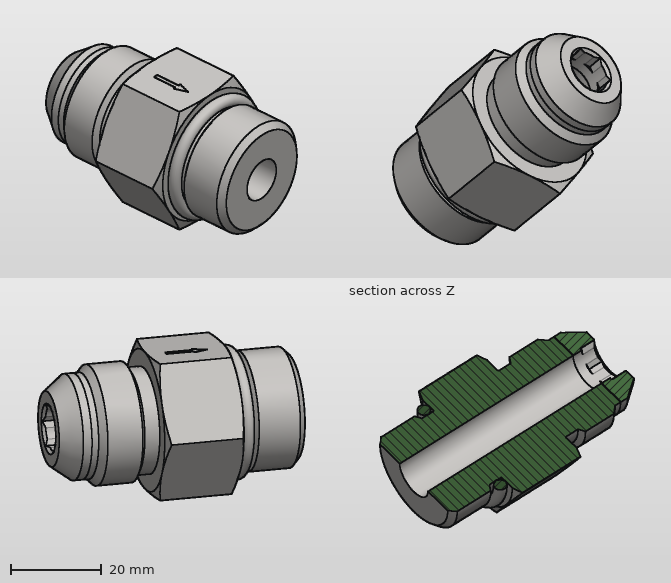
import cadquery as cq
import math

LENGTH = 55.4
HEX_START = 22.05
HEX_END = 40.25

THREAD_DIAMETER = 26.95
NECK_DIAMETER = 23.9
NOSE_DIAMETER = 23.7
NOSE_TIP_DIAMETER = 16.85
SEAL_SEAT_DIAMETER = 24.05

FLARE_HALF_ANGLE = 37.0
NOSE_END = 6.55

LEFT_THREAD_START = 9.7
LEFT_THREAD_END = 17.7
LEFT_RUNOUT_LENGTH = 0.9

SEAL_SEAT_END = 43.55
RIGHT_THREAD_START = 44.4
RIGHT_THREAD_CHAMFER = 1.5

HEX_ACROSS_FLATS = 31.75
HEX_CHAMFER_ANGLE = 20.0

BORE_DIAMETER = 9.9
ENTRY_DIAMETER = 11.3
ENTRY_DEPTH = 0.7
SOCKET_ACROSS_FLATS = 9.6
SOCKET_DEPTH = 4.0

RING_SECTION_DIAMETER = 3.0

ARROW_TAIL = 26.35
ARROW_SHOULDER = 32.55
ARROW_TIP = 35.8
ARROW_Y = -2.05
ARROW_SHAFT_WIDTH = 1.05
ARROW_HEAD_WIDTH = 2.2
ARROW_DEPTH = 0.1


def revolve_about_x(points):
    """Revolve a closed (x, radius) outline around the X axis."""
    return cq.Workplane("XY").polyline(points).close().revolve(360, (0, 0, 0), (1, 0, 0))


def corner_diameter(across_flats):
    """Diameter of the circle through the corners of a hexagon."""
    return across_flats / math.cos(math.pi / 6)


def hexagonal_prism(across_flats, start, end):
    """Hexagonal prism along X with flats on +Z and -Z."""
    return (
        cq.Workplane("YZ")
        .workplane(offset=start)
        .polygon(6, corner_diameter(across_flats))
        .extrude(end - start)
    )


def nose_blank():
    """Flared cone and the short cylinder behind it."""
    nose_radius = NOSE_DIAMETER / 2
    tip_radius = NOSE_TIP_DIAMETER / 2
    flare_end = (nose_radius - tip_radius) / math.tan(math.radians(FLARE_HALF_ANGLE))
    return revolve_about_x([
        (0, 0),
        (0, tip_radius),
        (flare_end, nose_radius),
        (NOSE_END, nose_radius),
        (NOSE_END, 0),
    ])


def turned_housing():
    """Both threaded ends, the neck and the sealing ring seat."""
    thread = THREAD_DIAMETER / 2
    shoulder = NOSE_DIAMETER / 2
    neck = NECK_DIAMETER / 2
    seat = SEAL_SEAT_DIAMETER / 2
    return revolve_about_x([
        (NOSE_END, 0),
        (NOSE_END, shoulder),
        (LEFT_THREAD_START - (thread - shoulder), shoulder),
        (LEFT_THREAD_START, thread),
        (LEFT_THREAD_END, thread),
        (LEFT_THREAD_END + LEFT_RUNOUT_LENGTH, neck),
        (HEX_START, neck),
        (HEX_START, seat),
        (SEAL_SEAT_END, seat),
        (RIGHT_THREAD_START, thread),
        (LENGTH - RIGHT_THREAD_CHAMFER, thread),
        (LENGTH, thread - RIGHT_THREAD_CHAMFER),
        (LENGTH, 0),
    ])


def wrench_hexagon():
    """Hexagon with its corners turned down by a cone at both ends."""
    face = HEX_ACROSS_FLATS / 2
    corner = corner_diameter(HEX_ACROSS_FLATS) / 2
    chamfer = (corner - face) * math.tan(math.radians(HEX_CHAMFER_ANGLE))
    envelope = revolve_about_x([
        (HEX_START, 0),
        (HEX_START, face),
        (HEX_START + chamfer, corner),
        (HEX_END - chamfer, corner),
        (HEX_END, face),
        (HEX_END, 0),
    ])
    return hexagonal_prism(HEX_ACROSS_FLATS, HEX_START, HEX_END).intersect(envelope)


def bore():
    """Through bore with a conical entry at the nose."""
    bore_radius = BORE_DIAMETER / 2
    return revolve_about_x([
        (0, 0),
        (0, ENTRY_DIAMETER / 2),
        (ENTRY_DEPTH, bore_radius),
        (LENGTH, bore_radius),
        (LENGTH, 0),
    ])


def flow_arrow():
    """Arrow-shaped pocket pointing along +X."""
    half_shaft = ARROW_SHAFT_WIDTH / 2
    half_head = ARROW_HEAD_WIDTH / 2
    return (
        cq.Workplane("XY", origin=(0, ARROW_Y, HEX_ACROSS_FLATS / 2 - ARROW_DEPTH))
        .polyline([
            (ARROW_TAIL, -half_shaft),
            (ARROW_SHOULDER, -half_shaft),
            (ARROW_SHOULDER, -half_head),
            (ARROW_TIP, 0),
            (ARROW_SHOULDER, half_head),
            (ARROW_SHOULDER, half_shaft),
            (ARROW_TAIL, half_shaft),
        ])
        .close()
        .extrude(ARROW_DEPTH)
    )


def make_nose():
    """Nose piece with its bore and key socket."""
    socket = hexagonal_prism(SOCKET_ACROSS_FLATS, 0, SOCKET_DEPTH)
    return nose_blank().cut(bore()).cut(socket)


def make_housing():
    """Housing that meets the nose end to end, with its bore and flow arrow."""
    return turned_housing().union(wrench_hexagon()).cut(bore()).cut(flow_arrow())


def make_sealing_ring():
    """O-ring lying on its seat against the hexagon."""
    section_radius = RING_SECTION_DIAMETER / 2
    ring_radius = SEAL_SEAT_DIAMETER / 2 + section_radius
    ring_center = cq.Vector(HEX_END + section_radius, 0, 0)
    return cq.Solid.makeTorus(ring_radius, section_radius, ring_center, cq.Vector(1, 0, 0))


nose = make_nose()
housing = make_housing()
sealing_ring = make_sealing_ring()

result = cq.Compound.makeCompound([nose.val(), housing.val(), sealing_ring])